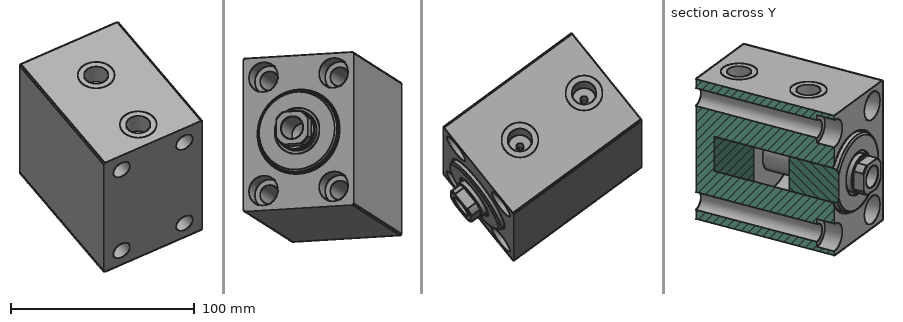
import cadquery as cq
import math


total_length = 100.0
block_front_x = 12.0
block_length = total_length - block_front_x
block_width = 63.0
block_height = 85.0
block_edge_chamfer = 0.8

mount_spacing_y = 40.0
mount_spacing_z = 63.0
mount_hole_diameter = 10.5
mount_counterbore_diameter = 16.5
mount_counterbore_depth = 11.0

front_port_x = 40.5
port_spacing = 44.0
port_spotface_diameter = 20.0
port_spotface_depth = 0.1
port_diameter = 13.2
port_depth = 12.0
oil_passage_diameter = 4.0

bore_diameter = 45.0
bore_end_x = 88.0
bore_mouth_chamfer = 1.0

gland_front_x = 9.0
gland_end_x = 40.8
gland_chamfer = 1.0
wiper_recess_diameter = 25.5
wiper_recess_depth = 1.0

rod_diameter = 22.0
rod_shoulder_x = 6.2
rod_shoulder_chamfer = 0.5
tip_diameter = 21.0
tip_chamfer = 0.4
tip_across_flats = 18.0
piston_length = 25.0
thread_hole_diameter = 12.4
thread_hole_depth = 20.0
thread_hole_chamfer = 0.2
drill_point_angle = 118.0


def cylinder_x(diameter, start_x, end_x):
    """Cylinder on the X axis between two X positions."""
    return cq.Workplane("YZ", origin=(start_x, 0, 0)).circle(diameter / 2).extrude(end_x - start_x)


def cylinder_down(diameter, x, top_z, bottom_z):
    """Vertical cylinder at the given X, between two heights."""
    return cq.Workplane("XY", origin=(x, 0, bottom_z)).circle(diameter / 2).extrude(top_z - bottom_z)


def turned(profile):
    """Solid of revolution about the X axis from (X, radius) points."""
    return cq.Workplane("XY").polyline(profile).close().revolve(360, (0, 0, 0), (1, 0, 0))


def make_block():
    block = (
        cq.Workplane("XY", origin=(block_front_x + block_length / 2, 0, 0))
        .box(block_length, block_width, block_height)
        .edges("|X")
        .chamfer(block_edge_chamfer)
    )

    block = (
        block.faces("<X")
        .workplane(origin=(block_front_x, 0, 0))
        .rarray(mount_spacing_y, mount_spacing_z, 2, 2)
        .cboreHole(mount_hole_diameter, mount_counterbore_diameter, mount_counterbore_depth)
    )

    bore_radius = bore_diameter / 2
    bore_profile = [
        (block_front_x, 0),
        (block_front_x, bore_radius + bore_mouth_chamfer),
        (block_front_x + bore_mouth_chamfer, bore_radius),
        (bore_end_x, bore_radius),
        (bore_end_x, 0),
    ]
    block = block.cut(turned(bore_profile))

    top_z = block_height / 2
    for port_x in (front_port_x, front_port_x + port_spacing):
        block = block.cut(cylinder_down(port_spotface_diameter, port_x, top_z, top_z - port_spotface_depth))
        block = block.cut(cylinder_down(port_diameter, port_x, top_z, top_z - port_depth))
        block = block.cut(cylinder_down(oil_passage_diameter, port_x, top_z, 0))
    return block


def make_gland():
    gland = cylinder_x(bore_diameter, gland_front_x, gland_end_x).faces("<X").chamfer(gland_chamfer)
    gland = gland.cut(cylinder_x(rod_diameter, gland_front_x, gland_end_x))
    wiper_recess_end_x = gland_front_x + wiper_recess_depth
    return gland.cut(cylinder_x(wiper_recess_diameter, gland_front_x, wiper_recess_end_x))


def make_piston_rod():
    rod = cylinder_x(rod_diameter, rod_shoulder_x, bore_end_x).faces("<X").chamfer(rod_shoulder_chamfer)
    piston = cylinder_x(bore_diameter, bore_end_x - piston_length, bore_end_x)

    tip = cylinder_x(tip_diameter, 0, rod_shoulder_x).faces("<X").chamfer(tip_chamfer)
    square = cq.Workplane("YZ").rect(tip_across_flats, tip_across_flats).extrude(rod_shoulder_x)
    rod = rod.union(piston).union(tip.intersect(square))

    hole_radius = thread_hole_diameter / 2
    drill_point_length = hole_radius / math.tan(math.radians(drill_point_angle / 2))
    hole_profile = [
        (0, 0),
        (0, hole_radius + thread_hole_chamfer),
        (thread_hole_chamfer, hole_radius),
        (thread_hole_depth, hole_radius),
        (thread_hole_depth + drill_point_length, 0),
    ]
    return rod.cut(turned(hole_profile))


block = make_block()
gland = make_gland()
piston_rod = make_piston_rod()
result = cq.Compound.makeCompound([block.val(), gland.val(), piston_rod.val()])